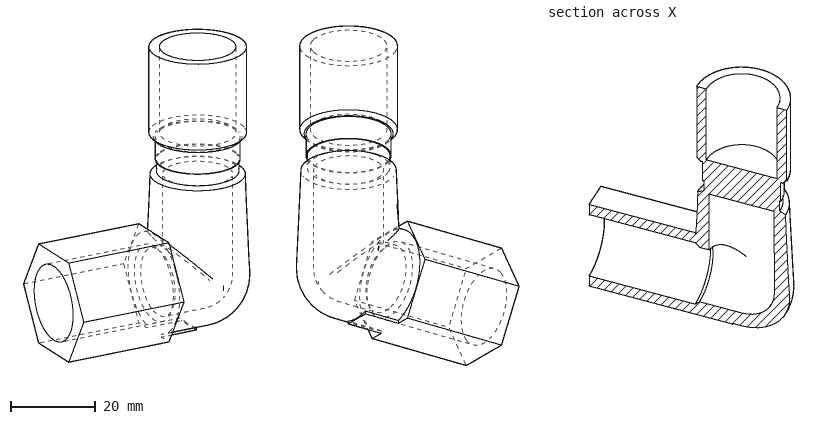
import cadquery as cq

TOTAL_HEIGHT = 69.8
HEX_CORNERS = 28.9
HEX_FLATS = HEX_CORNERS * 3 ** 0.5 / 2
BASE_Z = -HEX_FLATS / 2
TOP_Z = BASE_Z + TOTAL_HEIGHT

ELBOW_DIAMETER = 24.6
ELBOW_RADIUS = ELBOW_DIAMETER / 2
TOTAL_DEPTH = 51.2
HEX_LENGTH = 27.1
HEX_END_Y = ELBOW_RADIUS - TOTAL_DEPTH
HEX_START_Y = HEX_END_Y + HEX_LENGTH
TAPER_TOP_RADIUS = 11.2
TAPER_TOP_Z = 25.25
SHOULDER_HEIGHT = 0.7

PAD_WIDTH = 7.1
PAD_LENGTH = 9.5

LOWER_NECK_RADIUS = 19.5 / 2
LOWER_NECK_HEIGHT = 3.0
UPPER_NECK_RADIUS = 20.0 / 2
SLEEVE_RADIUS = 23.0 / 2
SLEEVE_LENGTH = 21.6
SLEEVE_CHAMFER = 1.05

SOCKET_DIAMETER = 18.0
ELBOW_BORE_DIAMETER = 16.5
HEX_BORE_DIAMETER = 18.6
HEX_BORE_CONE_LENGTH = (HEX_BORE_DIAMETER - ELBOW_BORE_DIAMETER) / 2


def along_branch(start_y):
    """Work plane whose normal points along -Y towards the open hex end."""
    return cq.Workplane("XZ", origin=(0, start_y, 0))


def make_riser():
    """Revolved tapered body, neck and sleeve."""
    shoulder_z = TAPER_TOP_Z + SHOULDER_HEIGHT
    neck_step_z = shoulder_z + LOWER_NECK_HEIGHT
    sleeve_z = TOP_Z - SLEEVE_LENGTH
    sleeve_bottom_z = sleeve_z - SLEEVE_CHAMFER
    profile = [
        (0, 0),
        (ELBOW_RADIUS, 0),
        (TAPER_TOP_RADIUS, TAPER_TOP_Z),
        (LOWER_NECK_RADIUS, shoulder_z),
        (LOWER_NECK_RADIUS, neck_step_z),
        (UPPER_NECK_RADIUS, neck_step_z),
        (UPPER_NECK_RADIUS, sleeve_bottom_z),
        (SLEEVE_RADIUS - SLEEVE_CHAMFER, sleeve_bottom_z),
        (SLEEVE_RADIUS, sleeve_z),
        (SLEEVE_RADIUS, TOP_Z),
        (0, TOP_Z),
    ]
    return cq.Workplane("XZ").polyline(profile).close().revolve(360, (0, 0), (0, 1))


def make_branch():
    """Round branch, hex end and the flat pad below."""
    round_part = along_branch(0).circle(ELBOW_RADIUS).extrude(-HEX_START_Y)
    hex_end = along_branch(HEX_START_Y).polygon(6, HEX_CORNERS).extrude(HEX_LENGTH)
    pad = cq.Workplane("XY").box(PAD_WIDTH, PAD_LENGTH, -BASE_Z, centered=(True, False, False))
    pad = pad.translate((0, HEX_START_Y, BASE_Z))
    return round_part.union(hex_end).union(pad)


def make_elbow_passage():
    """Rounded passage that turns from the branch up to the foot of the neck."""
    bore_radius = ELBOW_BORE_DIAMETER / 2
    vertical = cq.Workplane("XY").circle(bore_radius).extrude(TAPER_TOP_Z)
    horizontal = along_branch(0).circle(bore_radius).extrude(-HEX_START_Y)
    corner = cq.Workplane("XY").sphere(bore_radius)
    return vertical.union(horizontal).union(corner)


def make_hex_bore():
    """Bore of the hex end, with a conical seat where it meets the passage."""
    bore_radius = HEX_BORE_DIAMETER / 2
    bore = along_branch(HEX_START_Y).circle(bore_radius).extrude(HEX_LENGTH)
    cone = cq.Solid.makeCone(
        ELBOW_BORE_DIAMETER / 2,
        bore_radius,
        HEX_BORE_CONE_LENGTH,
        cq.Vector(0, HEX_START_Y + HEX_BORE_CONE_LENGTH, 0),
        cq.Vector(0, -1, 0),
    )
    return bore.union(cq.Workplane(cone))


socket = (
    cq.Workplane("XY", origin=(0, 0, TOP_Z))
    .circle(SOCKET_DIAMETER / 2)
    .extrude(-SLEEVE_LENGTH)
)

corner_ball = cq.Workplane("XY").sphere(ELBOW_RADIUS, angle1=-90, angle2=0)

body = make_riser().union(corner_ball).union(make_branch())
result = body.cut(make_elbow_passage()).cut(make_hex_bore()).cut(socket)